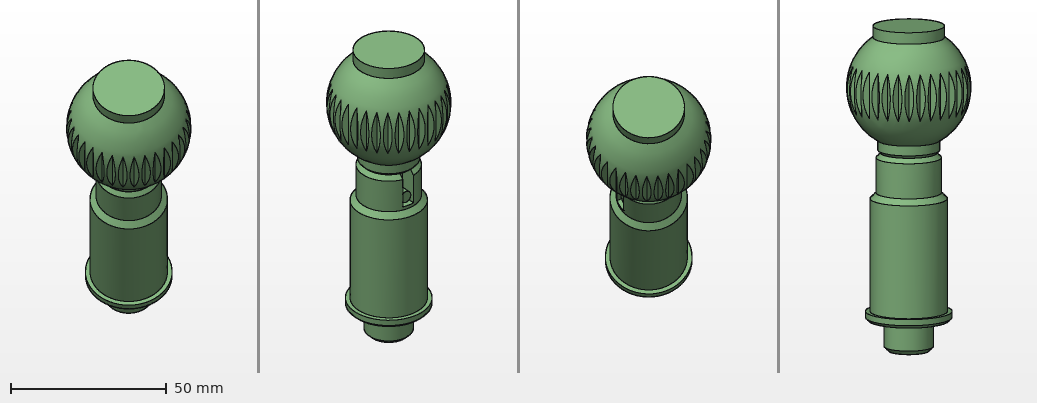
import cadquery as cq
import math

total_height = 106.5

ball_radius = 20.0
ball_center_z = 86.4
cap_radius = 11.5
collar_radius = 10.0
collar_chamfer = 1.0

groove_count = 33
groove_depth = 1.5

shaft_radius = 8.0
tip_chamfer = 1.5
stem_radius = 5.0

flange_bottom_z = 10.0
flange_thickness = 3.0
flange_radius = 14.0
flange_chamfer = 1.0
barrel_radius = 12.5
barrel_top_z = 50.0
neck_radius = 10.5
neck_chamfer = 1.5
sleeve_top_z = 64.9

stem_bottom_z = barrel_top_z

slot_width = 4.3
slot_bottom_z = 53.0
stud_radius = 2.0
stud_clearance = 0.3
stud_center_z = slot_bottom_z + stud_clearance + stud_radius
stud_reach = 9.0


def sphere_height(radius):
    """Distance above or below the ball's center where the ball has this radius."""
    return math.sqrt(ball_radius**2 - radius**2)


def revolved(profile):
    """Turn a half outline, drawn as radius against height, around the Z axis."""
    return profile.close().revolve(360, (0, 0, 0), (0, 1, 0))


def make_groove_cutters():
    """Upright 90-degree V prisms that stand around the equator of the ball."""
    apex_radius = ball_radius - groove_depth
    overshoot = 1.1
    cutter_depth = groove_depth + overshoot
    half_length = sphere_height(apex_radius) + overshoot
    cutter = (
        cq.Workplane("XY", origin=(0, 0, ball_center_z))
        .moveTo(apex_radius, 0)
        .lineTo(apex_radius + cutter_depth, cutter_depth)
        .lineTo(apex_radius + cutter_depth, -cutter_depth)
        .close()
        .extrude(half_length, both=True)
    )
    pitch_angle = 360 / groove_count
    return [
        cutter.rotate((0, 0, 0), (0, 0, 1), i * pitch_angle).val()
        for i in range(groove_count)
    ]


def make_plunger():
    """Knurled ball knob, its stem, shaft and the guide stud as one turned body."""
    turned = revolved(
        cq.Workplane("XZ")
        .moveTo(0, 0)
        .lineTo(shaft_radius - tip_chamfer, 0)
        .lineTo(shaft_radius, tip_chamfer)
        .lineTo(shaft_radius, stem_bottom_z)
        .lineTo(stem_radius, stem_bottom_z)
        .lineTo(stem_radius, sleeve_top_z)
        .lineTo(collar_radius - collar_chamfer, sleeve_top_z)
        .lineTo(collar_radius, sleeve_top_z + collar_chamfer)
        .lineTo(collar_radius, ball_center_z - sphere_height(collar_radius))
        .threePointArc(
            (ball_radius, ball_center_z),
            (cap_radius, ball_center_z + sphere_height(cap_radius)),
        )
        .lineTo(cap_radius, total_height)
        .lineTo(0, total_height)
    )
    knurled = turned.val().cut(*make_groove_cutters())
    stud = (
        cq.Workplane("YZ")
        .center(0, stud_center_z)
        .circle(stud_radius)
        .extrude(-stud_reach)
    )
    return cq.Workplane(knurled).union(stud)


def make_sleeve():
    """Flanged, stepped sleeve bored for the shaft and stem and slotted for the stud."""
    flange_top_z = flange_bottom_z + flange_thickness
    shoulder_height = barrel_radius - neck_radius
    turned = revolved(
        cq.Workplane("XZ")
        .moveTo(shaft_radius, flange_bottom_z)
        .lineTo(flange_radius - flange_chamfer, flange_bottom_z)
        .lineTo(flange_radius, flange_bottom_z + flange_chamfer)
        .lineTo(flange_radius, flange_top_z)
        .lineTo(barrel_radius, flange_top_z)
        .lineTo(barrel_radius, barrel_top_z)
        .lineTo(neck_radius, barrel_top_z + shoulder_height)
        .lineTo(neck_radius, sleeve_top_z - neck_chamfer)
        .lineTo(neck_radius - neck_chamfer, sleeve_top_z)
        .lineTo(stem_radius, sleeve_top_z)
        .lineTo(stem_radius, stem_bottom_z)
        .lineTo(shaft_radius, stem_bottom_z)
    )
    slot = cq.Workplane("XY", origin=(-barrel_radius, 0, slot_bottom_z)).box(
        barrel_radius,
        slot_width,
        sleeve_top_z - slot_bottom_z,
        centered=(False, True, False),
    )
    return turned.cut(slot)


plunger = make_plunger()
sleeve = make_sleeve()

result = cq.Compound.makeCompound([plunger.val(), sleeve.val()])